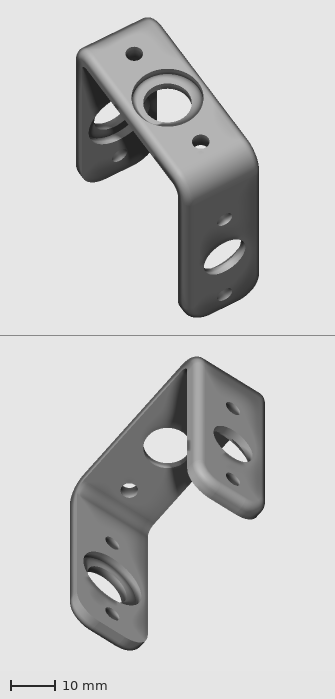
import cadquery as cq

length = 50.0
width = 20.0
height = 52.5
wall = 4.0
bend_radius = 6.4
arm_corner_radius = 6.4
edge_fillet = 2.0

bore_diameter = 11.0
recess_diameter = 16.4
recess_depth = 2.0
screw_diameter = 4.0
bridge_screw_offset = 14.55
arm_screw_offset = 14.3
arm_bore_height = 20.6

inner_length = length - 2 * wall
inner_height = height - wall


def outer_body():
    """Solid block with rounded bends, arm corners and outside edges."""
    block = cq.Workplane("XY").box(length, width, height, centered=(True, True, False))
    block = block.edges("|Y and >Z").fillet(bend_radius)
    block = block.edges("|X and <Z").fillet(arm_corner_radius)
    return block.faces("<X or >X").edges().fillet(edge_fillet)


def inner_space():
    """Opening between the arms, with bends concentric to the outside ones."""
    space = cq.Workplane("XY").box(inner_length, width, inner_height, centered=(True, True, False))
    return space.edges("|Y and >Z").fillet(bend_radius - wall)


def bridge_holes():
    """Bore and screw holes through the bridge, recessed from above."""
    top = cq.Workplane("XY", origin=(0, 0, height))
    bore = top.circle(bore_diameter / 2).extrude(-wall)
    recess = top.circle(recess_diameter / 2).extrude(-recess_depth)
    screws = top.pushPoints([(-bridge_screw_offset, 0), (bridge_screw_offset, 0)])
    return bore.union(recess).union(screws.circle(screw_diameter / 2).extrude(-wall))


def arm_holes():
    """Bore and screw holes through both arms, recessed from the inner faces."""
    plane = cq.Workplane("YZ", origin=(0, 0, arm_bore_height))
    bore = plane.circle(bore_diameter / 2).extrude(length / 2, both=True)
    recess = plane.circle(recess_diameter / 2).extrude(inner_length / 2 + recess_depth, both=True)
    screws = plane.pushPoints([(0, -arm_screw_offset), (0, arm_screw_offset)])
    return bore.union(recess).union(screws.circle(screw_diameter / 2).extrude(length / 2, both=True))


result = outer_body().cut(inner_space()).cut(bridge_holes()).cut(arm_holes())